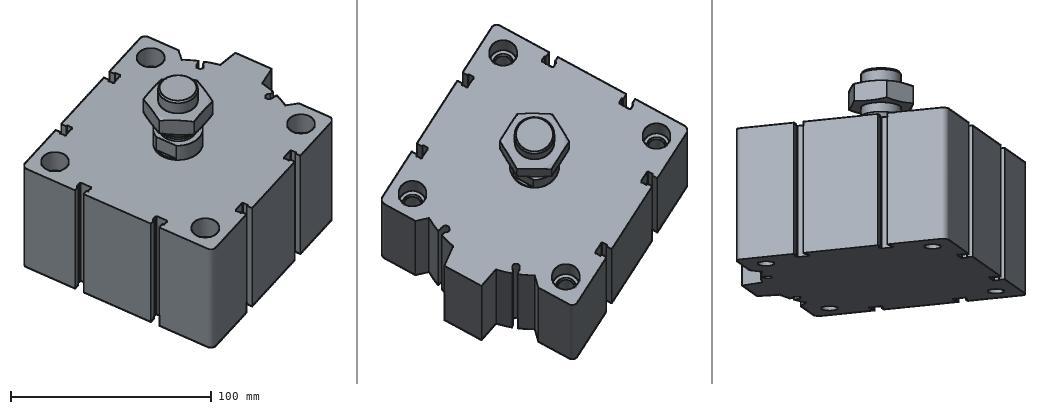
import cadquery as cq
import math


housing_width = 113.0
housing_length = 126.7
housing_height = 68.0
corner_radius = 3.0
half_width = housing_width / 2

rail_top_y = housing_length - half_width
rail_top_half_width = 10.8
rail_foot_half_width = 12.4
back_arc_radius = 60.0
notch_outer_x = 35.6
notch_inner_x = 30.7

keyhole_x = 20.4
keyhole_y = 52.6
keyhole_diameter = 3.8
keyhole_neck_width = 2.8
keyhole_neck_length = 7.6
keyhole_tilt = 14

slot_offset = 22.4
slot_neck_width = 5.1
slot_neck_depth = 3.0
slot_width = 6.7
slot_depth = 6.2
slot_corner_chamfer = 0.4

hole_offset = 44.5
hole_diameter = 8.4
counterbore_diameter = 14
counterbore_depth = 12.7
countersink_diameter = 10.0
countersink_depth = (countersink_diameter - hole_diameter) / 2

rod_length = 38
collar_diameter = 25.0
collar_height = 10.0
collar_flat_width = 22.0
collar_rim_height = 1.0
thread_diameter = 20.0
thread_tip_diameter = 18.4
thread_tip_height = 1.0
relief_diameter = 17.9
relief_foot_diameter = 18.8
relief_foot_height = 1.0
relief_straight_height = 1.4
relief_cone_height = 2.7

nut_width = 30.0
nut_height = 10.0
nut_base_above_housing = 19.9
nut_chamfer_angle = 15
nut_corner_reach = nut_width / math.sqrt(3)


def point_on_back_arc(x):
    """Point at a given x on the arc around the rod axis."""
    return x, math.sqrt(back_arc_radius**2 - x**2)


def housing_blank():
    """Extrude the outline: a square with rounded corners, rail and notches on its +Y side."""
    notch = point_on_back_arc(notch_inner_x)
    arc_middle = point_on_back_arc((notch_inner_x + rail_foot_half_width) / 2)
    rail_foot = point_on_back_arc(rail_foot_half_width)
    blank = (
        cq.Workplane("XY")
        .moveTo(0, -half_width)
        .lineTo(half_width, -half_width)
        .lineTo(half_width, half_width)
        .lineTo(notch_outer_x, half_width)
        .lineTo(*notch)
        .threePointArc(arc_middle, rail_foot)
        .lineTo(rail_top_half_width, rail_top_y)
        .lineTo(0, rail_top_y)
        .mirrorY()
        .extrude(housing_height)
    )
    nearest_corners = [
        cq.selectors.NearestToPointSelector((x, y, housing_height / 2))
        for x in (-half_width, half_width)
        for y in (-half_width, half_width)
    ]
    for corner in nearest_corners:
        blank = blank.edges("|Z").edges(corner).fillet(corner_radius)
    return blank


def t_slot(position):
    """Cutter for a T-slot in the -Y side, centred at x = position."""
    floor_y = slot_depth - half_width
    ledge_y = slot_neck_depth - half_width
    neck = (
        cq.Workplane("XY")
        .center(position, ledge_y - slot_neck_depth / 2)
        .rect(slot_neck_width, slot_neck_depth)
        .extrude(housing_height)
    )
    head = (
        cq.Workplane("XY")
        .center(position, (floor_y + ledge_y) / 2)
        .rect(slot_width, slot_depth - slot_neck_depth)
        .extrude(housing_height)
        .edges("|Z and >Y")
        .chamfer(slot_corner_chamfer)
    )
    return head.union(neck)


def keyhole_groove():
    """Cutter for the round groove at +X of the rail; one neck wall is tangent to the round."""
    radius = keyhole_diameter / 2
    groove = cq.Workplane("XY").circle(radius).extrude(housing_height)
    neck = (
        cq.Workplane("XY")
        .center(radius - keyhole_neck_width / 2, keyhole_neck_length / 2)
        .rect(keyhole_neck_width, keyhole_neck_length)
        .extrude(housing_height)
    )
    groove = groove.union(neck).rotate((0, 0, 0), (0, 0, 1), -keyhole_tilt)
    return groove.translate((keyhole_x, keyhole_y, 0))


def mounting_hole():
    """Cutter for a counterbored through hole with a countersunk edge, on the Z axis."""
    counterbore_floor = housing_height - counterbore_depth
    return (
        cq.Workplane("XZ")
        .lineTo(hole_diameter / 2, 0)
        .lineTo(hole_diameter / 2, counterbore_floor - countersink_depth)
        .lineTo(countersink_diameter / 2, counterbore_floor)
        .lineTo(counterbore_diameter / 2, counterbore_floor)
        .lineTo(counterbore_diameter / 2, housing_height)
        .lineTo(0, housing_height)
        .close()
        .revolve(360, (0, 0), (0, 1))
    )


def make_housing():
    """Blank with the T-slots, keyhole grooves and mounting holes cut out."""
    body = housing_blank()
    for side_angle in (-90, 0, 90):
        for position in (-slot_offset, slot_offset):
            body = body.cut(t_slot(position).rotate((0, 0, 0), (0, 0, 1), side_angle))
    groove = keyhole_groove()
    body = body.cut(groove).cut(groove.mirror("YZ"))
    for x in (-hole_offset, hole_offset):
        for y in (-hole_offset, hole_offset):
            body = body.cut(mounting_hole().translate((x, y, 0)))
    return body


def make_rod():
    """Rod end standing on the housing: flatted collar, thread relief and plain thread."""
    relief_start = collar_height + relief_foot_height
    relief_end = relief_start + relief_straight_height
    rod_profile = (
        cq.Workplane("XZ")
        .lineTo(collar_diameter / 2, 0)
        .lineTo(collar_diameter / 2, collar_height)
        .lineTo(relief_foot_diameter / 2, collar_height)
        .lineTo(relief_diameter / 2, relief_start)
        .lineTo(relief_diameter / 2, relief_end)
        .lineTo(thread_diameter / 2, relief_end + relief_cone_height)
        .lineTo(thread_diameter / 2, rod_length - thread_tip_height)
        .lineTo(thread_tip_diameter / 2, rod_length)
        .lineTo(0, rod_length)
        .close()
    )
    body = rod_profile.revolve(360, (0, 0), (0, 1))
    flat_depth = (collar_diameter - collar_flat_width) / 2
    for side in (-1, 1):
        flat = (
            cq.Workplane("XY", origin=(0, 0, collar_rim_height))
            .center(0, side * (collar_flat_width + flat_depth) / 2)
            .rect(collar_diameter, flat_depth)
            .extrude(collar_height - collar_rim_height)
        )
        body = body.cut(flat)
    return body.translate((0, 0, housing_height))


def make_nut():
    """Hexagon nut with corners at +Y and -Y, its corners chamfered at both ends."""
    chamfer_height = (nut_corner_reach - nut_width / 2) * math.tan(math.radians(nut_chamfer_angle))
    hexagon = (
        cq.Workplane("XY")
        .polygon(6, 2 * nut_corner_reach)
        .extrude(nut_height)
        .rotate((0, 0, 0), (0, 0, 1), 30)
    )
    chamfered_round = (
        cq.Workplane("XZ")
        .lineTo(nut_width / 2, 0)
        .lineTo(nut_corner_reach, chamfer_height)
        .lineTo(nut_corner_reach, nut_height - chamfer_height)
        .lineTo(nut_width / 2, nut_height)
        .lineTo(0, nut_height)
        .close()
        .revolve(360, (0, 0), (0, 1))
    )
    bore = cq.Workplane("XY").circle(thread_diameter / 2).extrude(nut_height)
    body = hexagon.intersect(chamfered_round).cut(bore)
    return body.translate((0, 0, housing_height + nut_base_above_housing))


housing = make_housing()
rod = make_rod()
nut = make_nut()

result = cq.Compound.makeCompound([housing.val(), rod.val(), nut.val()])